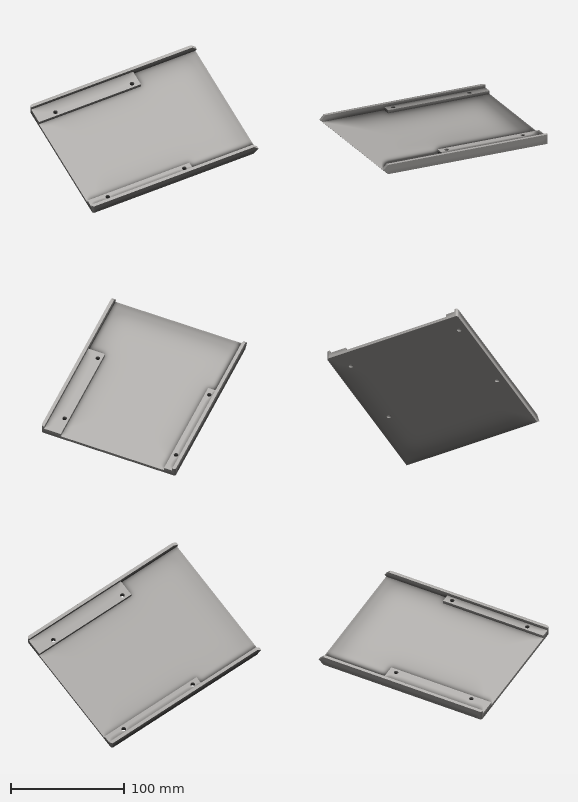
import cadquery as cq

width = 129.0
length = 162.5
height = 9.0

floor_thickness = height / 3
wall_thickness = floor_thickness
pad_top = 2 * floor_thickness
front_corner_radius = 2.0

pad_length = 100.0
left_pad_width = 16.0
right_pad_width = 8.0

hole_diameter = 4.0
left_hole_inset = 15.0
right_hole_inset = 7.0
front_hole_offset = 18.0
hole_spacing = 75.0

inner_left = wall_thickness
inner_right = width - wall_thickness


def block(x_start, x_end, y_end, z_top):
    """Box from the front and bottom faces, between two X positions."""
    return cq.Workplane("XY").box(x_end - x_start, y_end, z_top, centered=False).translate((x_start, 0, 0))


def side_envelope():
    """Side outline whose rear end comes to a 45 degree point at mid height."""
    point_depth = height / 2
    outline = [
        (0, 0),
        (length - point_depth, 0),
        (length, height / 2),
        (length - point_depth, height),
        (0, height),
    ]
    return cq.Workplane("YZ").polyline(outline).close().extrude(width)


tray = block(0, width, length, floor_thickness)
tray = tray.union(block(0, inner_left, length, height))
tray = tray.union(block(inner_right, width, length, height))
tray = tray.union(block(inner_left, inner_left + left_pad_width, pad_length, pad_top))
tray = tray.union(block(inner_right - right_pad_width, inner_right, pad_length, pad_top))

rounded_plan = block(0, width, length, height).edges("|Z and <Y").fillet(front_corner_radius)
tray = tray.intersect(rounded_plan)

tray = tray.intersect(side_envelope())

hole_centers = [
    (x, y)
    for x in (left_hole_inset, width - right_hole_inset)
    for y in (front_hole_offset, front_hole_offset + hole_spacing)
]
holes = cq.Workplane("XY").pushPoints(hole_centers).circle(hole_diameter / 2).extrude(height)

result = tray.cut(holes)